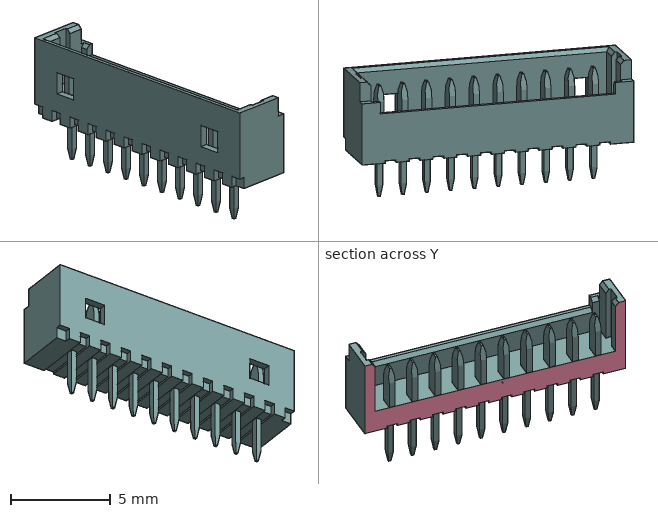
import cadquery as cq

PIN_COUNT = 10
PITCH = 1.25
PIN_Y = 1.15
BLADE_WIDTH = 0.32
BLADE_DEPTH = 0.75
BLADE_TIP_WIDTH = 0.1
BLADE_TIP_DEPTH = 0.36
BLADE_TOP_Z = 3.5
BLADE_SIDE_TAPER = 0.4
BLADE_FACE_TAPER = 0.8
TAIL_WIDTH = 0.3
TAIL_DEPTH = 0.35
TAIL_TIP_WIDTH = 0.12
TAIL_TIP_DEPTH = 0.14
TAIL_LENGTH = 2.3
TAIL_TIP_LENGTH = 0.6

END_MARGIN = 1.5
PIN_SPAN = (PIN_COUNT - 1) * PITCH
LENGTH = PIN_SPAN + 2 * END_MARGIN
DEPTH = 3.2
HEIGHT = 4.2
FLOOR_Z = 1.25
FRONT_WALL = 0.4
BACK_WALL = 0.4
END_WALL = 0.57

BACK_STEP_Z = 3.2
BACK_LOW_Z = 2.6
BACK_CORNER_LENGTH = 0.95

LEAD_IN_DROP = 0.2
FRONT_LEAD_IN = 0.2
END_LEAD_IN = 0.18
BACK_LEAD_IN = 0.2

GROOVE_Y = DEPTH / 2
GROOVE_FLOOR_X = 0.28
GROOVE_WIDTH = 0.8
GROOVE_MOUTH_WIDTH = 0.72
GROOVE_NECK_X = 0.4

WINDOW_SIZE = 1.15
WINDOW_BOTTOM_Z = 1.6
NOTCH_WIDTH = 0.56
NOTCH_HEIGHT = 0.6
NOTCH_DEPTH = 0.3
CHANNEL_HEIGHT = 0.12

BLADE_ROOT_Z = FLOOR_Z / 2
HALF_LENGTH = LENGTH / 2
HALF_CAVITY = HALF_LENGTH - END_WALL
PIN_XS = [i * PITCH - PIN_SPAN / 2 for i in range(PIN_COUNT)]


def box(x0, x1, y0, y1, z0, z1):
    """Axis-aligned block between the given limits."""
    return cq.Workplane("XY").box(x1 - x0, y1 - y0, z1 - z0, centered=False).translate((x0, y0, z0))


def taper(z_base, base, z_tip, tip):
    """Rectangular frustum on the Z axis; base and tip are (X, Y) sizes."""
    return (
        cq.Workplane("XY", origin=(0, 0, z_base))
        .rect(*base)
        .workplane(offset=z_tip - z_base)
        .rect(*tip)
        .loft(ruled=True)
    )


def prism_x(points, x0, x1):
    """Prism along X with a (Y, Z) outline."""
    return cq.Workplane("YZ", origin=(x0, 0, 0)).polyline(points).close().extrude(x1 - x0)


def back_lead_in(top_z, half_length):
    """Cutter for the sloping inner edge of a back wall whose top is at top_z."""
    inner_y = DEPTH - BACK_WALL
    outline = [(inner_y, top_z - LEAD_IN_DROP), (inner_y + BACK_LEAD_IN, top_z), (inner_y, top_z)]
    return prism_x(outline, -half_length, half_length)


def mouth_lead_in():
    """Cutter flaring the cavity mouth towards the front wall and both end walls."""
    bottom_depth = DEPTH - FRONT_WALL
    top_depth = bottom_depth + FRONT_LEAD_IN
    return (
        cq.Workplane("XY", origin=(0, 0, HEIGHT - LEAD_IN_DROP))
        .center(0, DEPTH - bottom_depth / 2)
        .rect(2 * HALF_CAVITY, bottom_depth)
        .workplane(offset=LEAD_IN_DROP)
        .center(0, (bottom_depth - top_depth) / 2)
        .rect(2 * (HALF_CAVITY + END_LEAD_IN), top_depth)
        .loft(ruled=True)
    )


def end_groove(side):
    """Cutter for the keying groove in one end wall; it narrows towards its mouth."""
    floor_x = side * (HALF_LENGTH - GROOVE_FLOOR_X)
    neck_x = side * (HALF_LENGTH - GROOVE_NECK_X)
    mouth_x = side * HALF_CAVITY
    near, far = GROOVE_Y - GROOVE_WIDTH / 2, GROOVE_Y + GROOVE_WIDTH / 2
    mouth_near, mouth_far = GROOVE_Y - GROOVE_MOUTH_WIDTH / 2, GROOVE_Y + GROOVE_MOUTH_WIDTH / 2
    outline = [
        (floor_x, near), (neck_x, near), (mouth_x, mouth_near),
        (mouth_x, mouth_far), (neck_x, far), (floor_x, far),
    ]
    return cq.Workplane("XY", origin=(0, 0, FLOOR_Z)).polyline(outline).close().extrude(HEIGHT - FLOOR_Z)


def window(x):
    """Cutter for a latch window through the front wall."""
    half = WINDOW_SIZE / 2
    return box(x - half, x + half, 0, FRONT_WALL, WINDOW_BOTTOM_Z, WINDOW_BOTTOM_Z + WINDOW_SIZE)


def front_notch(x):
    """Cutter for a relief notch in the lower front edge."""
    half = NOTCH_WIDTH / 2
    return box(x - half, x + half, 0, NOTCH_DEPTH, 0, NOTCH_HEIGHT)


def pin_channel(x):
    """Cutter for the shallow channel across the underside at a pin."""
    half = NOTCH_WIDTH / 2
    return box(x - half, x + half, 0, DEPTH, 0, CHANNEL_HEIGHT)


def housing():
    """Open-topped shroud with a lowered back wall and its front face at Y = 0."""
    body = box(-HALF_LENGTH, HALF_LENGTH, 0, DEPTH, 0, HEIGHT)
    body = body.cut(box(-HALF_CAVITY, HALF_CAVITY, FRONT_WALL, DEPTH - BACK_WALL, FLOOR_Z, HEIGHT))
    body = body.cut(mouth_lead_in())

    half_gap = HALF_LENGTH - BACK_CORNER_LENGTH
    body = body.cut(box(-HALF_LENGTH, HALF_LENGTH, DEPTH - BACK_WALL, DEPTH, BACK_STEP_Z, HEIGHT))
    body = body.cut(box(-half_gap, half_gap, DEPTH - BACK_WALL, DEPTH, BACK_LOW_Z, HEIGHT))
    body = body.cut(back_lead_in(BACK_STEP_Z, HALF_CAVITY))
    body = body.cut(back_lead_in(BACK_LOW_Z, half_gap))

    window_x = (PIN_XS[-1] + PIN_XS[-2]) / 2
    for side in (-1, 1):
        body = body.cut(end_groove(side))
        body = body.cut(window(side * window_x))
        body = body.cut(front_notch(side * (HALF_LENGTH - NOTCH_WIDTH / 2)))
    for x in PIN_XS:
        body = body.cut(front_notch(x)).cut(pin_channel(x))
    return body


def tapered_profile(plane, width, tip_width, taper_height):
    """Prism of a pointed blade outline in the given upright plane, thicker than the blade."""
    shoulder_z = BLADE_TOP_Z - taper_height
    outline = [
        (-width / 2, BLADE_ROOT_Z), (width / 2, BLADE_ROOT_Z), (width / 2, shoulder_z),
        (tip_width / 2, BLADE_TOP_Z), (-tip_width / 2, BLADE_TOP_Z), (-width / 2, shoulder_z),
    ]
    return cq.Workplane(plane).polyline(outline).close().extrude(BLADE_DEPTH, both=True)


def mating_blade():
    """Blade on the Z axis, narrowing in X and in Y over different heights."""
    in_x = tapered_profile("XZ", BLADE_WIDTH, BLADE_TIP_WIDTH, BLADE_SIDE_TAPER)
    in_y = tapered_profile("YZ", BLADE_DEPTH, BLADE_TIP_DEPTH, BLADE_FACE_TAPER)
    return in_x.intersect(in_y)


def solder_tail():
    """Tail on the Z axis, running up to the blade root and ending in a tapered tip."""
    shank = (TAIL_WIDTH, TAIL_DEPTH)
    shoulder_z = TAIL_TIP_LENGTH - TAIL_LENGTH
    tip = taper(shoulder_z, shank, -TAIL_LENGTH, (TAIL_TIP_WIDTH, TAIL_TIP_DEPTH))
    return taper(shoulder_z, shank, BLADE_ROOT_Z, shank).union(tip)


pin = mating_blade().union(solder_tail())
result = housing()
for pin_x in PIN_XS:
    result = result.union(pin.translate((pin_x, PIN_Y, 0)))